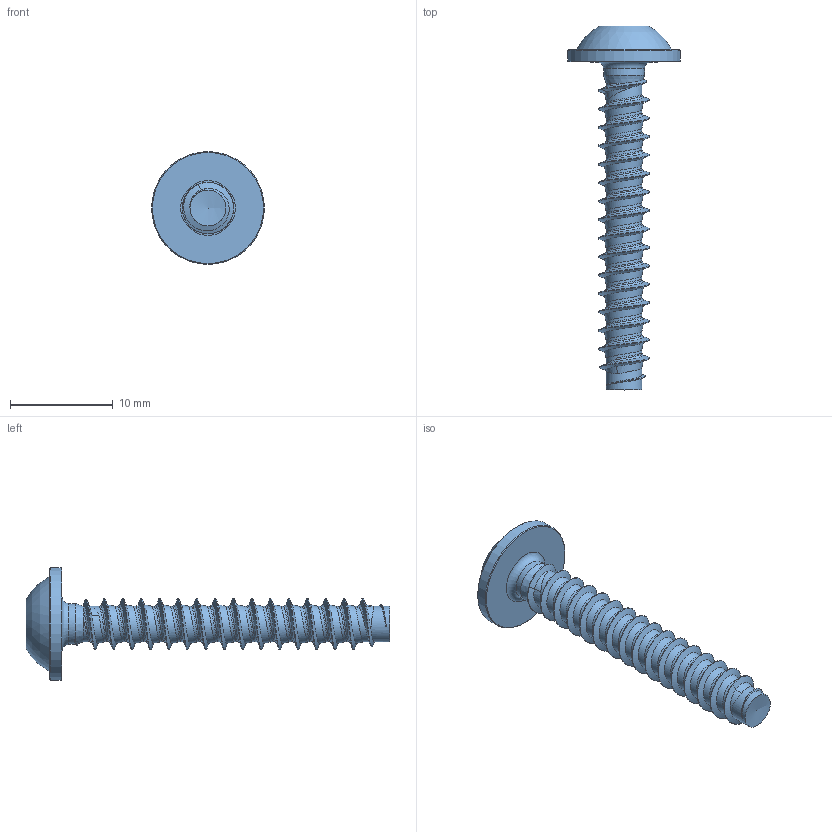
import cadquery as cq
import math


flange_diameter = 11.0
flange_thickness = 1.2
flange_chamfer = 0.08
head_height = 3.5
dome_base_diameter = 9.25
dome_top_diameter = 4.8

shank_length = 32.0
neck_diameter = 4.0
neck_length = 1.3
underhead_fillet = 0.67
core_diameter = 3.48
neck_taper_end = 2.1
tip_recess_depth = 0.15

thread_diameter = 5.0
pitch = 1.8
crest_width = 0.05
tip_flank_width = 0.22
head_flank_width = 0.2
flank_foot_radius = 1.89
relief_start = 0.42
relief_end = 0.72
root_span = 1.06
root_dip = 0.02
buried_depth = 0.3
runout_turns = 1.25
end_clearance = 0.03
tip_crest_gap = 0.3
head_crest_gap = 0.4
tip_top_crest = 0.86
points_per_turn = 12

core_radius = core_diameter / 2
thread_radius = thread_diameter / 2
runout_sink = thread_radius - core_radius + end_clearance


def make_body():
    """Head, neck and core, revolved about Y."""
    flange_radius = flange_diameter / 2
    dome_base_radius = dome_base_diameter / 2
    dome_top_radius = dome_top_diameter / 2
    neck_radius = neck_diameter / 2
    dome_height = head_height - flange_thickness

    center_drop = (dome_base_radius**2 - dome_top_radius**2 - dome_height**2) / (2 * dome_height)
    center_y = flange_thickness - center_drop
    sphere_radius = math.hypot(dome_base_radius, center_drop)
    base_angle = math.atan2(center_drop, dome_base_radius)
    top_angle = math.atan2(head_height - center_y, dome_top_radius)
    middle_angle = (base_angle + top_angle) / 2
    dome_middle = (
        sphere_radius * math.cos(middle_angle),
        center_y + sphere_radius * math.sin(middle_angle),
    )

    fillet_inset = underhead_fillet * (1 - math.sqrt(0.5))
    fillet_middle = (neck_radius + fillet_inset, -fillet_inset)

    return (
        cq.Workplane("XY")
        .moveTo(0, head_height)
        .lineTo(dome_top_radius, head_height)
        .threePointArc(dome_middle, (dome_base_radius, flange_thickness))
        .lineTo(flange_radius - flange_chamfer, flange_thickness)
        .lineTo(flange_radius, flange_thickness - flange_chamfer)
        .lineTo(flange_radius, flange_chamfer)
        .lineTo(flange_radius - flange_chamfer, 0)
        .lineTo(neck_radius + underhead_fillet, 0)
        .threePointArc(fillet_middle, (neck_radius, -underhead_fillet))
        .lineTo(neck_radius, -neck_length)
        .lineTo(core_radius, -neck_taper_end)
        .lineTo(core_radius, -shank_length)
        .lineTo(0, -shank_length)
        .close()
        .revolve(360, (0, 0, 0), (0, 1, 0))
        .val()
    )


def make_thread():
    """Helical ridge with ruled flanks that sinks into the core at both ends."""
    first_y = tip_crest_gap - shank_length
    turns = (-head_crest_gap - first_y) / pitch
    start_turn = (tip_crest_gap - tip_top_crest) / pitch
    half_crest = crest_width / 2
    buried_radius = core_radius - buried_depth

    section = [
        (-root_span, buried_radius),
        (-root_span, core_radius - root_dip),
        (-half_crest - tip_flank_width, flank_foot_radius),
        (-half_crest, thread_radius),
        (half_crest, thread_radius),
        (half_crest + head_flank_width, flank_foot_radius),
        (relief_start, core_radius + root_dip),
        (relief_end, core_radius - root_dip),
        (relief_end, buried_radius),
    ]
    stretches = [
        (0, runout_turns),
        (runout_turns, turns - runout_turns),
        (turns - runout_turns, turns),
    ]

    def ridge_point(offset, radius, turn):
        depth = max(0, 1 - turn / runout_turns, 1 - (turns - turn) / runout_turns)
        local_radius = radius - runout_sink * depth
        angle = 2 * math.pi * (start_turn + turn)
        return cq.Vector(
            local_radius * math.sin(angle),
            first_y + pitch * turn + offset,
            local_radius * math.cos(angle),
        )

    def helix_edge(corner, start, end):
        steps = math.ceil((end - start) * points_per_turn)
        stations = [start + (end - start) * i / steps for i in range(steps + 1)]
        return cq.Edge.makeSpline([ridge_point(*corner, t) for t in stations], parameters=stations)

    faces = []
    for start, end in stretches:
        edges = [helix_edge(corner, start, end) for corner in section]
        for i, edge in enumerate(edges):
            faces.append(cq.Face.makeRuledSurface(edges[i - 1], edge))
    for end_turn in (0, turns):
        outline = cq.Wire.makePolygon([ridge_point(*c, end_turn) for c in section], close=True)
        faces.append(cq.Face.makeFromWires(outline))
    return cq.Solid.makeSolid(cq.Shell.makeShell(faces))


def make_tip_trim():
    """Everything beyond the tip, with the spherical dish that hollows the end face."""
    dish_top = tip_recess_depth - shank_length
    trim_radius = thread_diameter
    dish_radius = (core_radius**2 + tip_recess_depth**2) / (2 * tip_recess_depth)
    dish_half_angle = math.asin(core_radius / dish_radius) / 2
    dish_middle = (
        dish_radius * math.sin(dish_half_angle),
        dish_top - dish_radius * (1 - math.cos(dish_half_angle)),
    )
    trim_end = shank_length + 2 * pitch
    return (
        cq.Workplane("XY")
        .moveTo(0, dish_top)
        .threePointArc(dish_middle, (core_radius, -shank_length))
        .lineTo(trim_radius, -shank_length)
        .lineTo(trim_radius, -trim_end)
        .lineTo(0, -trim_end)
        .close()
        .revolve(360, (0, 0, 0), (0, 1, 0))
        .val()
    )


screw = make_body().fuse(make_thread())
result = cq.Workplane("XY").newObject(screw.cut(make_tip_trim()).Solids())